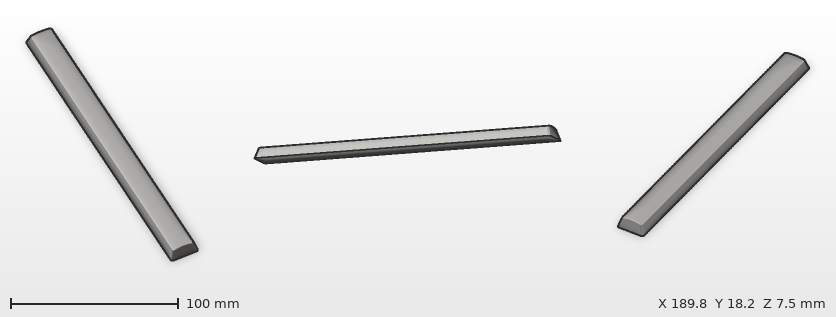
import cadquery as cq
import math

length = 189.8
width = 18.2
height = 7.5

draft_angle = 17.0
corner_radius = 1.5

shoulder_height = 6.5
edge_fillet = 0.8


def drafted_block():
    """Bar with rounded upright corners and all four walls leaning inward."""
    sharp_block = cq.Workplane("XY").rect(length, width).extrude(height, taper=draft_angle)
    upright_corners = sharp_block.edges("not(#Z)")
    return upright_corners.fillet(corner_radius)


def crown_envelope():
    """Long prism whose upper face is the crown arc."""
    shoulder_half_width = width / 2 - shoulder_height * math.tan(math.radians(draft_angle))
    crown_rise = height - shoulder_height
    crown_radius = (shoulder_half_width**2 + crown_rise**2) / (2 * crown_rise)
    edge_drop = crown_radius - math.sqrt(crown_radius**2 - (width / 2) ** 2)
    edge_height = height - edge_drop
    return (
        cq.Workplane("YZ")
        .moveTo(-width / 2, 0)
        .lineTo(width / 2, 0)
        .lineTo(width / 2, edge_height)
        .threePointArc((0, height), (-width / 2, edge_height))
        .close()
        .extrude(length / 2, both=True)
    )


crowned_bar = drafted_block().intersect(crown_envelope())

result = crowned_bar.faces(">Z").edges().fillet(edge_fillet)